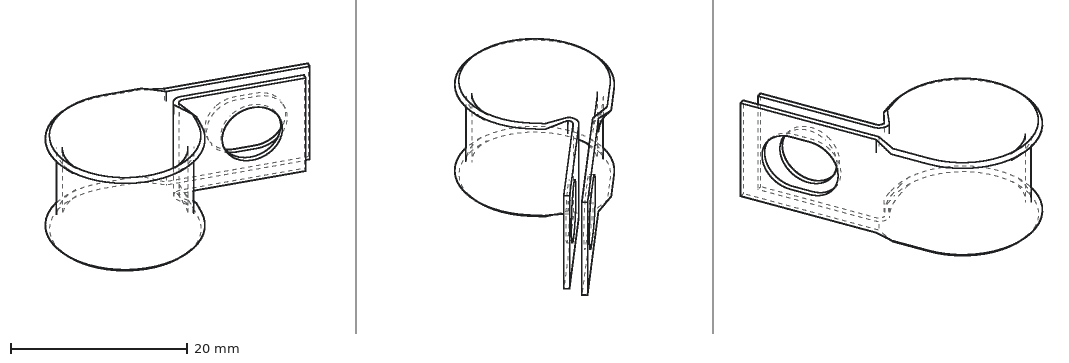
import cadquery as cq
import math

overall_length = 33.25
width = 12.7
thickness = 0.65
flare_diameter = 18.1
flare_radius = flare_diameter / 2
loop_inner = 7.1
loop_outer = loop_inner + thickness
loop_sweep = 270
half_width = width / 2

long_tab_end = overall_length - flare_radius
short_tab_end = 23.05
short_tab_left = -5.65
bend_inner = 0.65
bend_outer = bend_inner + thickness
bend_x = short_tab_left + bend_outer
bend_y = loop_inner + bend_outer

hole_y = 16.7
hole_diameter = 7.15
slot_length = 9.57

lip_bend = 0.15
flare_angle = math.radians(45)
flare_sin = math.sin(flare_angle)
flare_cos = math.cos(flare_angle)
flare_start = loop_outer + lip_bend * (1 - flare_cos)
flare_rise = (flare_radius - flare_start) / math.tan(flare_angle)
lip_base = half_width - thickness * flare_sin - flare_rise - lip_bend * flare_sin

transition = 2.5
left_fade_end = loop_inner
left_flare_end = left_fade_end - transition
top_fade_end = bend_x
top_flare_end = top_fade_end + transition


def lip_bend_point(radius, angle):
    """Point on a lip bend arc: radial distance and height."""
    center = loop_outer + lip_bend
    return center - radius * math.cos(angle), lip_base + radius * math.sin(angle)


def flared_section(plane):
    """Cross-section of the upper lip, with local X radial and local Y along Z."""
    inner_bend = lip_bend + thickness
    tip_z = half_width - thickness * flare_sin
    return (
        cq.Workplane(plane)
        .moveTo(loop_outer, lip_base)
        .threePointArc(lip_bend_point(lip_bend, flare_angle / 2), lip_bend_point(lip_bend, flare_angle))
        .lineTo(flare_radius, tip_z)
        .lineTo(flare_radius - thickness * flare_cos, half_width)
        .lineTo(*lip_bend_point(inner_bend, flare_angle))
        .threePointArc(lip_bend_point(inner_bend, flare_angle / 2), (loop_inner, lip_base))
        .close()
    )


def flat_section(plane):
    """Straight strip section with one edge for each edge of the flared section."""
    outer_split = lip_bend_point(lip_bend, flare_angle)[1]
    inner_split = lip_bend_point(lip_bend + thickness, flare_angle)[1]
    return cq.Workplane(plane).polyline([
        (loop_outer, lip_base),
        (loop_outer, outer_split),
        (loop_outer, half_width),
        (loop_inner, half_width),
        (loop_inner, inner_split),
        (loop_inner, lip_base),
    ]).close()


def left_plane(y):
    return cq.Plane(origin=(0, y, 0), xDir=(-1, 0, 0), normal=(0, 1, 0))


def top_plane(x):
    return cq.Plane(origin=(x, 0, 0), xDir=(0, 1, 0), normal=(1, 0, 0))


def fade(flared_plane, flat_plane):
    """Ruled transition from the flared lip to the flat strip."""
    sections = [flared_section(flared_plane).val(), flat_section(flat_plane).val()]
    return cq.Workplane(cq.Solid.makeLoft(sections, True))


def block(x_min, x_max, y_min, y_max, half_height):
    """Box symmetric about the XY plane."""
    return cq.Workplane().box(x_max - x_min, y_max - y_min, 2 * half_height).translate(
        ((x_min + x_max) / 2, (y_min + y_max) / 2, 0)
    )


def make_loop_band():
    """Plain strip between the lips: three quarters of a ring and two straight arms."""
    diagonal = math.sqrt(0.5)
    return (
        cq.Workplane(origin=(0, 0, -lip_base))
        .moveTo(-loop_outer, left_fade_end)
        .lineTo(-loop_outer, 0)
        .threePointArc((loop_outer * diagonal, -loop_outer * diagonal), (0, loop_outer))
        .lineTo(top_fade_end, loop_outer)
        .lineTo(top_fade_end, loop_inner)
        .lineTo(0, loop_inner)
        .threePointArc((loop_inner * diagonal, -loop_inner * diagonal), (-loop_inner, 0))
        .lineTo(-loop_inner, left_fade_end)
        .close()
        .extrude(2 * lip_base)
    )


def make_upper_lip():
    ring = flared_section(left_plane(0)).revolve(loop_sweep, (0, 0), (0, 1))
    left_arm = flared_section(left_plane(0)).extrude(left_flare_end)
    top_arm = flared_section(top_plane(top_flare_end)).extrude(-top_flare_end)
    left_fade = fade(left_plane(left_flare_end), left_plane(left_fade_end))
    top_fade = fade(top_plane(top_flare_end), top_plane(top_fade_end))
    return ring.union(left_arm).union(top_arm).union(left_fade).union(top_fade)


def make_long_tab():
    tab = block(-loop_outer, -loop_inner, left_fade_end, long_tab_end, half_width)
    slot = (
        cq.Workplane("YZ", origin=(-loop_outer, hole_y, 0))
        .slot2D(slot_length, hole_diameter)
        .extrude(thickness)
    )
    return tab.cut(slot)


def make_short_tab():
    tab = block(short_tab_left, short_tab_left + thickness, bend_y, short_tab_end, half_width)
    hole = (
        cq.Workplane("YZ", origin=(short_tab_left, hole_y, 0))
        .circle(hole_diameter / 2)
        .extrude(thickness)
    )
    bend_ring = (
        cq.Workplane(origin=(bend_x, bend_y, -half_width))
        .circle(bend_outer)
        .circle(bend_inner)
        .extrude(width)
    )
    bend_corner = block(short_tab_left, bend_x, loop_inner, bend_y, half_width)
    return tab.cut(hole).union(bend_ring.intersect(bend_corner))


upper_lip = make_upper_lip()
lower_lip = upper_lip.mirror("XY")
clamp = make_loop_band().union(upper_lip).union(lower_lip)
result = clamp.union(make_long_tab()).union(make_short_tab())